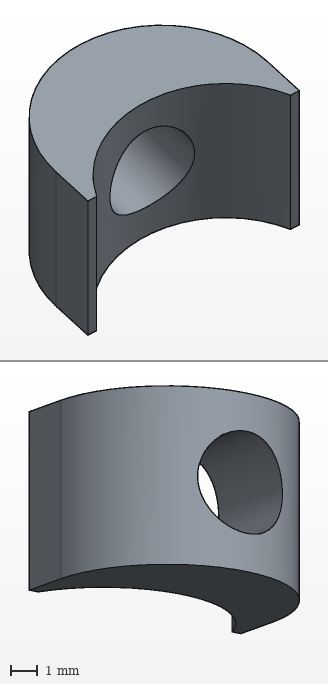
import cadquery as cq

width = 10.0
depth = 7.0
height = 7.0
web_thickness = 4.0
saddle_radius = 5.0
hole_diameter = 4.0

outer_radius = width / 2
flat_length = depth - outer_radius
saddle_center_x = web_thickness - outer_radius + saddle_radius

body = (
    cq.Workplane("XY")
    .moveTo(flat_length, outer_radius)
    .lineTo(0, outer_radius)
    .threePointArc((-outer_radius, 0), (0, -outer_radius))
    .lineTo(flat_length, -outer_radius)
    .close()
    .extrude(height)
)

saddle = cq.Workplane("XY").center(saddle_center_x, 0).circle(saddle_radius).extrude(height)

hole = (
    cq.Workplane("YZ", origin=(-outer_radius, 0, height / 2))
    .circle(hole_diameter / 2)
    .extrude(depth)
)

result = body.cut(saddle).cut(hole)